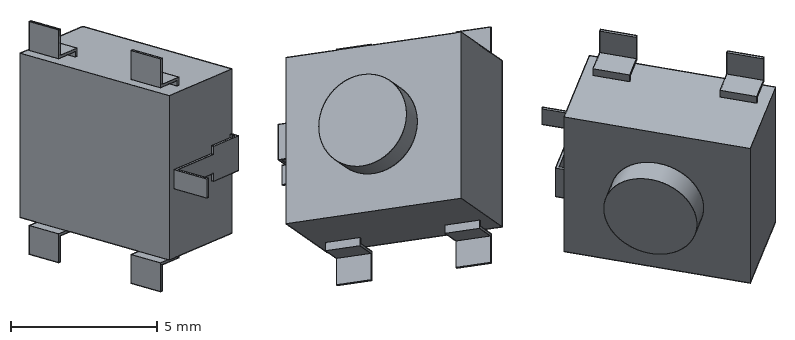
import cadquery as cq

body_width = 6.6
body_depth = 3.4
body_height = 6.0

button_diameter = 3.3
button_height = 0.9

lead_width = 1.3
lead_pitch = 4.5
lead_pair_offset = 0.01
lead_thickness = 0.1
lead_gap = 0.195
lead_depth = 1.0
lead_reach = 1.25

terminal_thickness = 0.1
terminal_gap = 0.2
terminal_reach = 1.66
terminal_back_inset = 0.025
terminal_step_depth = 2.02
terminal_wide = 1.275
terminal_narrow = 0.7


def bent_strip(plane, gap, thickness, depth, reach, width):
    """Z-bent strip; local x leads away from the housing wall, local y is depth.

    The strip is centred across its width on the plane's origin.
    """
    outer = gap + thickness
    return (
        cq.Workplane(plane)
        .moveTo(0, depth)
        .lineTo(outer, depth)
        .lineTo(outer, thickness)
        .lineTo(reach, thickness)
        .lineTo(reach, 0)
        .lineTo(gap, 0)
        .lineTo(gap, depth - thickness)
        .lineTo(0, depth - thickness)
        .close()
        .extrude(width / 2, both=True)
    )


def make_lead(x, side):
    """Lead at the given X, on the top (side = 1) or bottom (side = -1) face."""
    plane = cq.Plane(
        origin=(x, 0, side * body_height / 2),
        xDir=(0, 0, side),
        normal=(-side, 0, 0),
    )
    return bent_strip(plane, lead_gap, lead_thickness, lead_depth, lead_reach, lead_width)


def make_terminal():
    """Side terminal, with both edges trimmed in front of the width step."""
    plane = cq.Plane(origin=(body_width / 2, 0, 0), xDir=(1, 0, 0), normal=(0, 0, 1))
    depth = body_depth - terminal_back_inset
    strip = bent_strip(
        plane, terminal_gap, terminal_thickness, depth, terminal_reach, terminal_wide
    )
    trim_height = (terminal_wide - terminal_narrow) / 2
    for side in (-1, 1):
        trim = (
            cq.Workplane(plane)
            .box(terminal_reach, terminal_step_depth, trim_height, centered=(False, False, True))
            .translate((0, 0, side * (terminal_narrow + trim_height) / 2))
        )
        strip = strip.cut(trim)
    return strip


body = cq.Workplane("XY").box(
    body_width, body_depth, body_height, centered=(True, False, True)
)

button = (
    cq.Workplane("XZ", origin=(0, body_depth, 0))
    .circle(button_diameter / 2)
    .extrude(-button_height)
)

result = body.union(button).union(make_terminal())
for lead_x in (lead_pair_offset - lead_pitch / 2, lead_pair_offset + lead_pitch / 2):
    for lead_side in (-1, 1):
        result = result.union(make_lead(lead_x, lead_side))